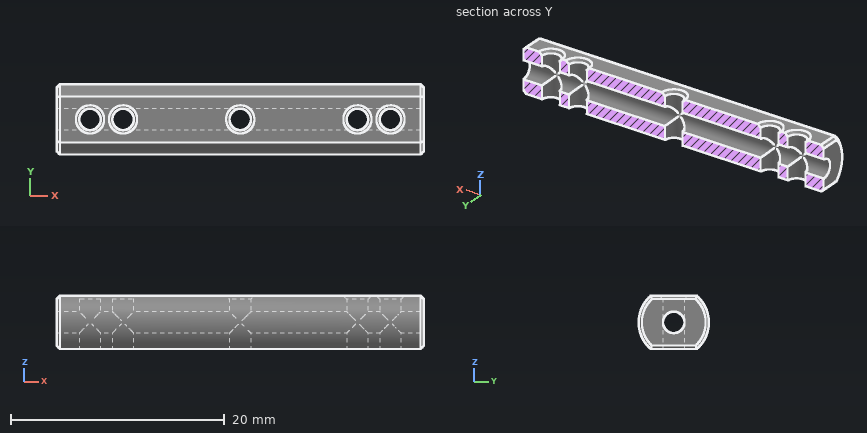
import cadquery as cq

length = 34.38
rod_diameter = 6.6
height = 5.0
end_chamfer = 0.3

bore_diameter = 2.0
cross_hole_diameter = 2.0
countersink_diameter = 2.65
countersink_angle = 90.0
inner_hole_offset = 10.97
outer_hole_offset = 14.05


def flatted_bar():
    """Rod cut to height by two flats, with every edge of both ends chamfered."""
    rod = cq.Workplane("YZ").circle(rod_diameter / 2).extrude(length / 2, both=True)
    envelope = cq.Workplane("XY").box(length, rod_diameter, height)
    return rod.intersect(envelope).faces("<X or >X").chamfer(end_chamfer)


def drill_lengthwise(body):
    """Plain bore through the whole length."""
    return body.faces("<X").workplane(origin=(0, 0, 0)).hole(bore_diameter)


def drill_crosswise(body):
    """Row of vertical through holes, countersunk in the top flat and mirrored about the middle."""
    positions = [(0, 0)]
    for offset in (inner_hole_offset, outer_hole_offset):
        positions += [(-offset, 0), (offset, 0)]
    top_flat = body.faces(">Z").workplane(origin=(0, 0, 0))
    return top_flat.pushPoints(positions).cskHole(
        cross_hole_diameter, countersink_diameter, countersink_angle
    )


result = drill_crosswise(drill_lengthwise(flatted_bar()))